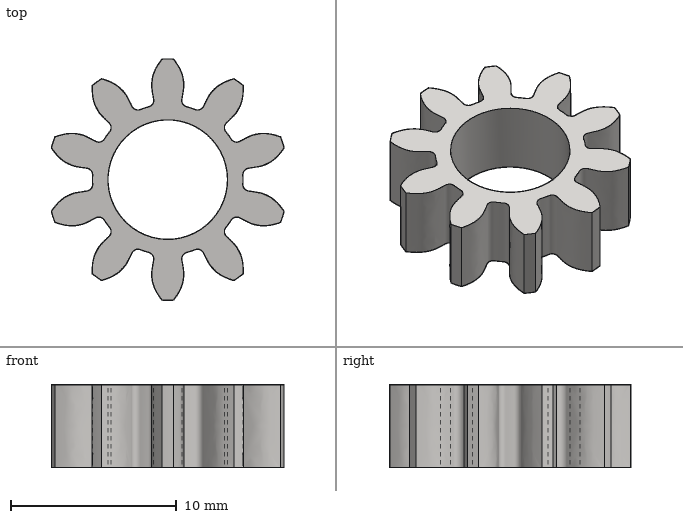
import cadquery as cq
import math

tooth_count = 10
outer_diameter = 14.58
bore_diameter = 7.2
root_diameter = 9.1
face_width = 5.0
tip_half_width = 0.35
flank_start_radius = 5.02
flank_half_width = 0.87
widest_half_width = 0.98
widest_y = 5.75
root_fillet = 0.4
position_tolerance = 0.001

outer_radius = outer_diameter / 2
tip_corner_y = math.sqrt(outer_radius**2 - tip_half_width**2)

flank_start_y = math.sqrt(flank_start_radius**2 - flank_half_width**2)
foot_scale = (bore_diameter + root_diameter) / 4 / flank_start_radius
foot_x = flank_half_width * foot_scale
foot_y = flank_start_y * foot_scale


def make_tooth():
    """One tooth pointing along +Y, with curved flanks leaving their radial feet smoothly."""
    right_flank = [
        (flank_half_width, flank_start_y),
        (widest_half_width, widest_y),
        (tip_half_width, tip_corner_y),
    ]
    left_flank = [(-x, y) for x, y in reversed(right_flank)]
    outward = (flank_half_width, flank_start_y)
    inward = (flank_half_width, -flank_start_y)
    return (
        cq.Workplane("XY")
        .moveTo(-foot_x, foot_y)
        .lineTo(foot_x, foot_y)
        .lineTo(*right_flank[0])
        .spline(right_flank[1:], tangents=[outward, None, None], includeCurrent=True)
        .threePointArc((0, outer_radius), left_flank[0])
        .spline(left_flank[1:], tangents=[None, None, inward], includeCurrent=True)
        .close()
        .extrude(face_width)
    )


def at_root(edge):
    """True for an edge whose centre lies on the root cylinder."""
    centre = edge.Center()
    return abs(math.hypot(centre.x, centre.y) - root_diameter / 2) < position_tolerance


gear = cq.Workplane("XY").circle(root_diameter / 2).extrude(face_width)
tooth = make_tooth()
for index in range(tooth_count):
    gear = gear.union(tooth.rotate((0, 0, 0), (0, 0, 1), index * 360 / tooth_count))

root_corners = [edge for edge in gear.edges("|Z").vals() if at_root(edge)]
gear = gear.newObject(root_corners).fillet(root_fillet)
result = gear.cut(cq.Workplane("XY").circle(bore_diameter / 2).extrude(face_width))